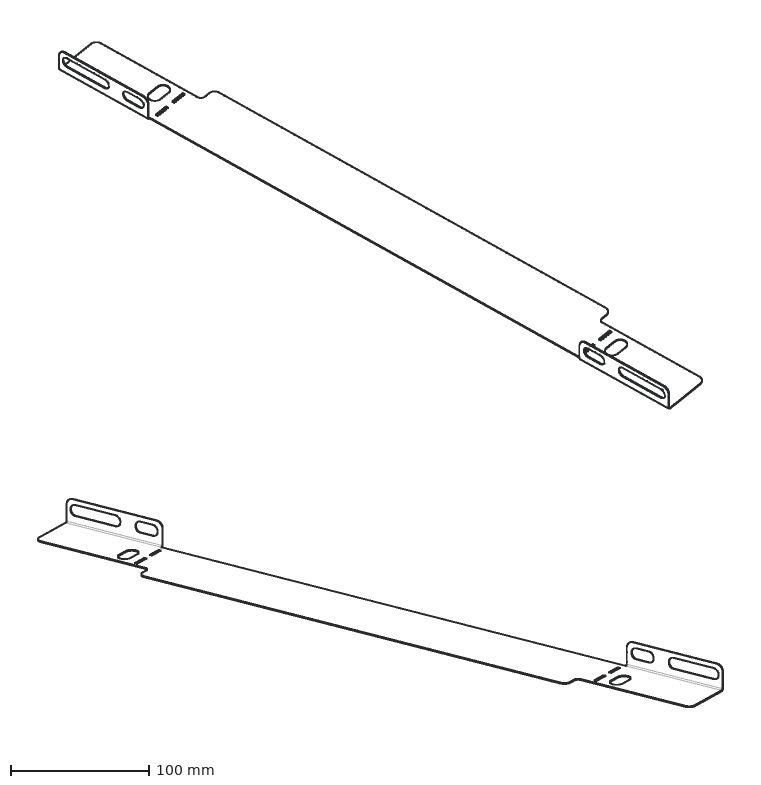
import cadquery as cq

length = 574.0
depth = 55.0
height = 20.0
sheet = 1.0

ear_step = 14.0
wide_start = 100.0
corner_radius = 5.0
inside_corner_radius = 3.5
bend_radius = 2.0
middle_front = bend_radius

flange_length = 84.0
flange_slot_width = 8.5
flange_slot_height = 11.75
flange_slots = ((3.5, 47.0), (60.0, 80.0))

ear_slot_x = 72.0
ear_slot_y = 27.0
ear_slot_length = 19.5
ear_slot_width = 10.5
slit_x = 86.0
slit_width = 2.0
slits = ((7.5, 19.0), (26.0, 38.0))


def make_wide_plate():
    """Return the wide middle of the base, rounded at its back corners."""
    width = length - 2 * wide_start
    plate_depth = depth - middle_front
    return (
        cq.Workplane("XY")
        .box(width, plate_depth, sheet, centered=(True, False, False))
        .translate((length / 2, middle_front, 0))
        .edges("|Z and >Y")
        .fillet(corner_radius)
    )


def make_angle():
    """Return the left ear and its flange, bent from one strip."""
    ear_depth = depth - ear_step
    angle = (
        cq.Workplane("YZ")
        .rect(ear_depth, height, centered=False)
        .extrude(flange_length)
        .edges("|X and <Y and <Z")
        .fillet(bend_radius)
    )
    inside = (
        cq.Workplane("YZ")
        .rect(ear_depth, height, centered=False)
        .extrude(flange_length)
        .translate((0, sheet, sheet))
        .edges("|X and <Y and <Z")
        .fillet(bend_radius - sheet)
    )
    angle = angle.cut(inside)
    angle = angle.edges("|Y and >Z").fillet(corner_radius)
    return angle.edges("|Z and >Y and <X").fillet(corner_radius)


def make_neck():
    """Return the flat strip joining the left ear to the wide middle."""
    overlap = 6.0
    neck_depth = depth - ear_step - middle_front
    return (
        cq.Workplane("XY")
        .box(wide_start + overlap - flange_length, neck_depth, sheet, centered=False)
        .translate((flange_length, middle_front, 0))
    )


def cut_end_openings(end):
    """Cut the flange slots, the ear slot and the two slits at the left end."""
    for start, stop in flange_slots:
        slot = (
            cq.Workplane("XZ")
            .center((start + stop) / 2, flange_slot_height)
            .slot2D(stop - start, flange_slot_width)
            .extrude(-sheet)
        )
        end = end.cut(slot)
    ear_slot = (
        cq.Workplane("XY")
        .center(ear_slot_x, ear_slot_y)
        .slot2D(ear_slot_length, ear_slot_width, 90)
        .extrude(sheet)
    )
    end = end.cut(ear_slot)
    for front, back in slits:
        slit = (
            cq.Workplane("XY")
            .center(slit_x, (front + back) / 2)
            .rect(slit_width, back - front)
            .extrude(sheet)
        )
        end = end.cut(slit)
    return end


left_end = cut_end_openings(make_angle().union(make_neck()))
right_end = left_end.mirror("YZ").translate((length, 0, 0))
bracket = make_wide_plate().union(left_end).union(right_end).clean()

step_y = depth - ear_step
corner_reach = 0.5
for step_x in (wide_start, length - wide_start):
    corner = cq.selectors.BoxSelector(
        (step_x - corner_reach, step_y - corner_reach, 0),
        (step_x + corner_reach, step_y + corner_reach, sheet),
    )
    bracket = bracket.edges("|Z").edges(corner).fillet(inside_corner_radius)

result = bracket